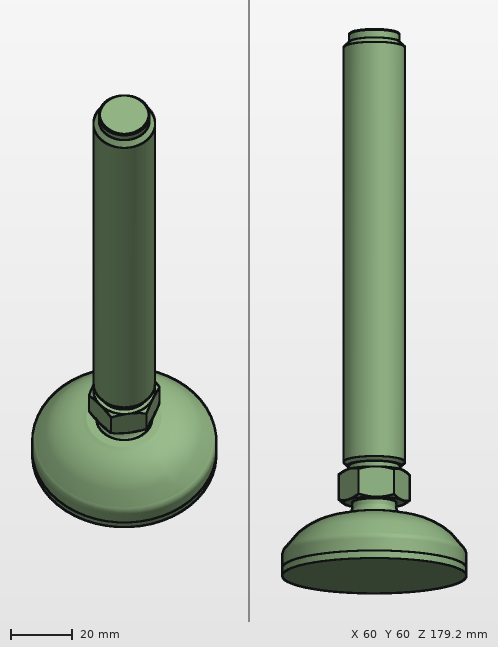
import cadquery as cq
import math

TOTAL_HEIGHT = 179.2

base_radius = 59.9 / 2
pad_height = 2.5
rim_top_z = 6.3
dome_start_z = 9.0
dome_start_radius = 28.9
shoulder_bulge = 0.4
dome_bulge = 2.0
dome_top_radius = 13.5
foot_top_z = 19.4
top_edge_width = 1.3
top_edge_drop = 0.4

flare_radius = 18.3 / 2
neck_radius = 14.3 / 2
flare_top_z = 22.4
flare_bulge = 0.4
hex_bottom_z = 24.2
hex_height = 10.0
hex_across_flats = 20.0
hex_end_radius = 20.0 / 2
hex_chamfer_angle = 30
undercut_radius = 16.5 / 2
shaft_bottom_z = 36.4
shaft_radius = 20.0 / 2
shaft_bottom_chamfer = 1.3
tip_radius = 16.5 / 2
tip_length = 2.9
tip_chamfer = 0.4

hex_top_z = hex_bottom_z + hex_height
tip_bottom_z = TOTAL_HEIGHT - tip_length
shaft_top_chamfer = shaft_radius - tip_radius


def bowed_midpoint(start, end, bulge):
    """Midpoint of a chord, moved to the right of its direction by the bulge."""
    dr = end[0] - start[0]
    dz = end[1] - start[1]
    chord = math.hypot(dr, dz)
    return (
        (start[0] + end[0]) / 2 + bulge * dz / chord,
        (start[1] + end[1]) / 2 - bulge * dr / chord,
    )


def revolve_profile(profile):
    """Close an (r, z) profile and turn it around the Z axis."""
    return profile.close().revolve(360, (0, 0, 0), (0, 1, 0))


def make_pad():
    return cq.Workplane("XY").circle(base_radius).extrude(pad_height)


def make_foot():
    rim_top = (base_radius, rim_top_z)
    dome_start = (dome_start_radius, dome_start_z)
    dome_end = (dome_top_radius, foot_top_z - top_edge_drop)
    profile = (
        cq.Workplane("XZ")
        .moveTo(0, pad_height)
        .lineTo(base_radius, pad_height)
        .lineTo(*rim_top)
        .threePointArc(bowed_midpoint(rim_top, dome_start, shoulder_bulge), dome_start)
        .threePointArc(bowed_midpoint(dome_start, dome_end, dome_bulge), dome_end)
        .lineTo(dome_top_radius - top_edge_width, foot_top_z)
        .lineTo(0, foot_top_z)
    )
    return revolve_profile(profile)


def make_hex():
    """Hexagon with flats facing +Y and -Y, its corners chamfered at both ends."""
    across_corners = hex_across_flats / math.cos(math.radians(30))
    corner_radius = across_corners / 2
    chamfer_height = (corner_radius - hex_end_radius) * math.tan(math.radians(hex_chamfer_angle))
    prism = (
        cq.Workplane("XY")
        .workplane(offset=hex_bottom_z)
        .polygon(6, across_corners)
        .extrude(hex_height)
    )
    chamfer_envelope = revolve_profile(
        cq.Workplane("XZ")
        .moveTo(0, hex_bottom_z)
        .lineTo(hex_end_radius, hex_bottom_z)
        .lineTo(corner_radius, hex_bottom_z + chamfer_height)
        .lineTo(corner_radius, hex_top_z - chamfer_height)
        .lineTo(hex_end_radius, hex_top_z)
        .lineTo(0, hex_top_z)
    )
    return prism.intersect(chamfer_envelope)


def make_spindle():
    flare_start = (flare_radius, foot_top_z)
    flare_end = (neck_radius, flare_top_z)
    turned = revolve_profile(
        cq.Workplane("XZ")
        .moveTo(0, foot_top_z)
        .lineTo(*flare_start)
        .threePointArc(bowed_midpoint(flare_start, flare_end, -flare_bulge), flare_end)
        .lineTo(neck_radius, hex_top_z)
        .lineTo(undercut_radius, hex_top_z)
        .lineTo(undercut_radius, shaft_bottom_z)
        .lineTo(shaft_radius - shaft_bottom_chamfer, shaft_bottom_z)
        .lineTo(shaft_radius, shaft_bottom_z + shaft_bottom_chamfer)
        .lineTo(shaft_radius, tip_bottom_z - shaft_top_chamfer)
        .lineTo(tip_radius, tip_bottom_z)
        .lineTo(tip_radius, TOTAL_HEIGHT - tip_chamfer)
        .lineTo(tip_radius - tip_chamfer, TOTAL_HEIGHT)
        .lineTo(0, TOTAL_HEIGHT)
    )
    return turned.union(make_hex())


pad = make_pad()
foot = make_foot()
spindle = make_spindle()

result = cq.Compound.makeCompound([pad.val(), foot.val(), spindle.val()])